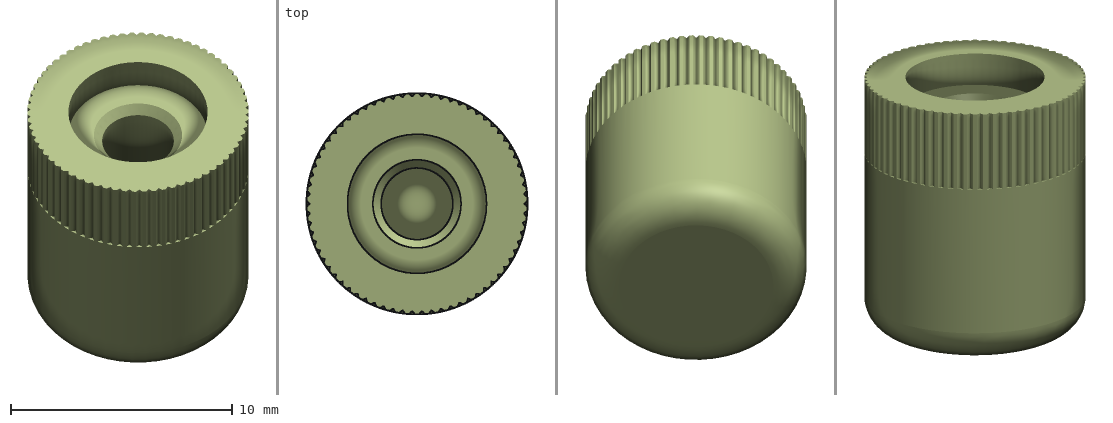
import cadquery as cq

height = 12.0
outer_diameter = 10.0
outer_radius = outer_diameter / 2
edge_radius = 1.5

knurl_height = 3.6
groove_count = 70
groove_depth = 0.15
groove_pitch_angle = 360.0 / groove_count
groove_overshoot = 0.06

pocket_diameter = 6.29
floor_thickness = edge_radius
recess_depth = 1.5

bore_diameter = 3.24
bore_chamfer = 0.37
insert_height = height - floor_thickness - recess_depth


def make_groove_cutter():
    """Triangular prism that cuts the knurl groove on +X; its width is twice its depth."""
    tip_x = outer_radius - groove_depth
    base_x = outer_radius + groove_overshoot
    half_width = base_x - tip_x
    return (
        cq.Workplane("XY", origin=(0, 0, height - knurl_height))
        .polyline([(tip_x, 0), (base_x, half_width), (base_x, -half_width)])
        .close()
        .extrude(knurl_height)
        .val()
    )


def make_housing():
    """Knurled knob with a rounded bottom edge and a blind pocket from the top."""
    knob = (
        cq.Workplane("XY")
        .circle(outer_radius)
        .extrude(height)
        .faces("<Z")
        .edges()
        .fillet(edge_radius)
    )
    pocket = (
        cq.Workplane("XY", origin=(0, 0, floor_thickness))
        .circle(pocket_diameter / 2)
        .extrude(height - floor_thickness)
    )
    groove = make_groove_cutter()
    axis_start = cq.Vector(0, 0, 0)
    axis_end = cq.Vector(0, 0, 1)
    grooves = [
        groove.rotate(axis_start, axis_end, index * groove_pitch_angle)
        for index in range(groove_count)
    ]
    return knob.cut(pocket).val().cut(*grooves)


def make_insert():
    """Bush that stands on the pocket floor, its bore chamfered at the top."""
    return (
        cq.Workplane("XY", origin=(0, 0, floor_thickness))
        .circle(pocket_diameter / 2)
        .circle(bore_diameter / 2)
        .extrude(insert_height)
        .faces(">Z")
        .edges(cq.selectors.RadiusNthSelector(0))
        .chamfer(bore_chamfer)
        .val()
    )


housing = make_housing()
insert = make_insert()

result = cq.Compound.makeCompound([housing, insert])